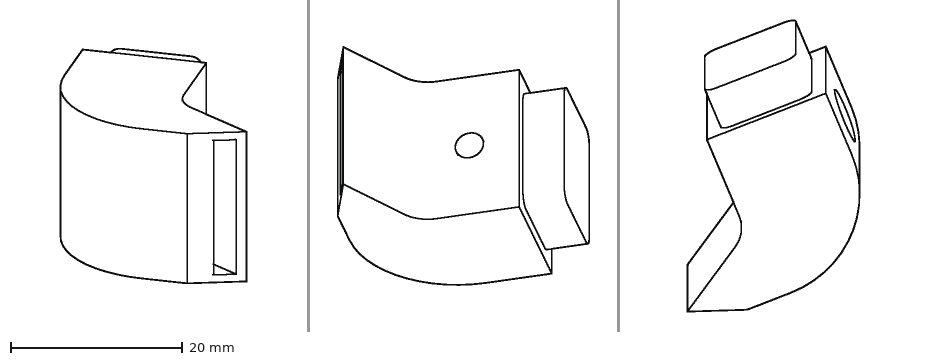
import cadquery as cq
import math

total_x = 25.0
total_y = 26.0
height = 19.0

body_width = 15.0
heel_radius = 13.0
inner_radius = 4.0
chamfer_start_x = 18.45
tip_y = 2.42
beak_angle = 32.6

plug_length = 5.0
plug_width = 11.5
plug_height = 15.85
plug_radius = 1.5

hole_y = 15.0
hole_diameter = 3.4
counterbore_diameter = 6.5
counterbore_depth = 3.5

slot_left_x = 21.37
slot_right_x = 23.87
slot_height = 17.05
slot_depth = 5.2

body_end_y = total_y - plug_length
mid_z = height / 2
beak_slope = math.radians(beak_angle)


def make_body():
    corner_y = tip_y + (total_x - body_width) * math.tan(beak_slope)
    outline = (
        cq.Workplane("XY")
        .moveTo(0, body_end_y)
        .lineTo(0, heel_radius)
        .radiusArc((heel_radius, 0), -heel_radius)
        .lineTo(chamfer_start_x, 0)
        .lineTo(total_x, tip_y)
        .lineTo(body_width, corner_y)
        .lineTo(body_width, body_end_y)
        .close()
    )
    body = outline.extrude(height)
    inner_corner = cq.selectors.NearestToPointSelector((body_width, corner_y, mid_z))
    return body.edges(inner_corner).fillet(inner_radius)


def make_plug():
    overlap = plug_length / 2
    length = plug_length + overlap
    center_y = total_y - length / 2
    return (
        cq.Workplane("XY")
        .box(plug_width, length, plug_height)
        .edges("|Y")
        .fillet(plug_radius)
        .translate((body_width / 2, center_y, mid_z))
    )


def make_screw_hole():
    axis = cq.Workplane("YZ").center(hole_y, mid_z)
    through = axis.circle(hole_diameter / 2).extrude(body_width)
    counterbore = axis.circle(counterbore_diameter / 2).extrude(counterbore_depth)
    return through.union(counterbore)


def front_face_y(x):
    """Y of the sloped front face of the beak at a given X."""
    return tip_y * (x - chamfer_start_x) / (total_x - chamfer_start_x)


def make_slot():
    direction = (-math.cos(beak_slope), math.sin(beak_slope))

    def along_slot(x, distance):
        return (x + distance * direction[0], front_face_y(x) + distance * direction[1])

    mouth_left = along_slot(slot_left_x, 0)
    mouth_right = along_slot(slot_right_x, 0)
    mouth_slant = (
        (mouth_left[0] - mouth_right[0]) * direction[0]
        + (mouth_left[1] - mouth_right[1]) * direction[1]
    )
    end_left = along_slot(slot_left_x, slot_depth - mouth_slant)
    end_right = along_slot(slot_right_x, slot_depth)
    return (
        cq.Workplane("XY", origin=(0, 0, mid_z))
        .polyline([mouth_left, mouth_right, end_right, end_left])
        .close()
        .extrude(slot_height / 2, both=True)
    )


result = make_body().union(make_plug()).cut(make_screw_hole()).cut(make_slot())